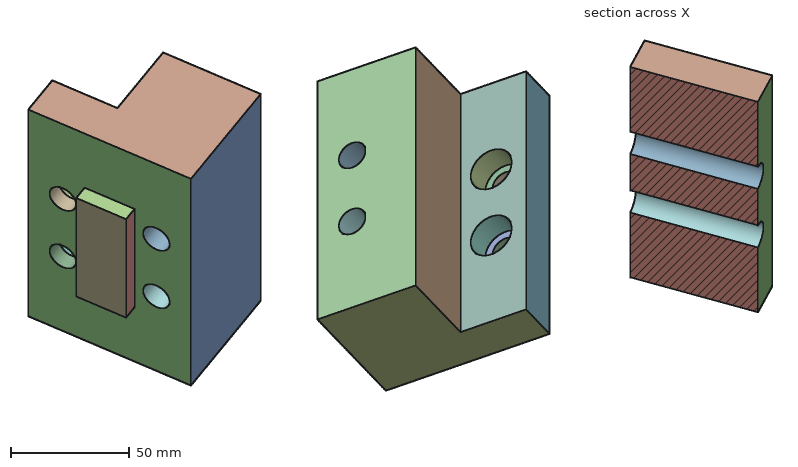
import cadquery as cq

width = 80.0
height = 126.0
plate_thickness = 20.0
block_width = 48.0
block_depth = 38.0

key_width = 24.5
key_height = 60.0
key_projection = 7.0

hole_diameter = 13.0
hole_spacing_x = 46.0
hole_spacing_z = 35.0
counterbore_diameter = 20.0
counterbore_depth = 12.3

body_depth = plate_thickness + block_depth
center_x = width / 2
center_z = height / 2
left_hole_x = center_x - hole_spacing_x / 2
right_hole_x = center_x + hole_spacing_x / 2


def make_body():
    """L-shaped prism: full-width plate with a block behind its +X side."""
    plate = cq.Workplane("XY").box(width, plate_thickness, height, centered=False)
    block = (
        cq.Workplane("XY")
        .box(block_width, block_depth, height, centered=False)
        .translate((width - block_width, plate_thickness, 0))
    )
    return plate.union(block)


def make_key():
    """Rectangular locating key standing out of the plate's -Y face."""
    return (
        cq.Workplane("XY")
        .box(key_width, key_projection, key_height)
        .translate((center_x, -key_projection / 2, center_z))
    )


def make_bore_pair(x, diameter, start_y, end_y):
    """Two cylinders along Y, one above the other, at the given X."""
    return (
        cq.Workplane("XZ", origin=(x, start_y, center_z))
        .rarray(1, hole_spacing_z, 1, 2)
        .circle(diameter / 2)
        .extrude(start_y - end_y)
    )


result = make_body().union(make_key())

for hole_x in (left_hole_x, right_hole_x):
    result = result.cut(make_bore_pair(hole_x, hole_diameter, 0, body_depth))

shoulder_y = plate_thickness - counterbore_depth
result = result.cut(make_bore_pair(left_hole_x, counterbore_diameter, shoulder_y, plate_thickness))